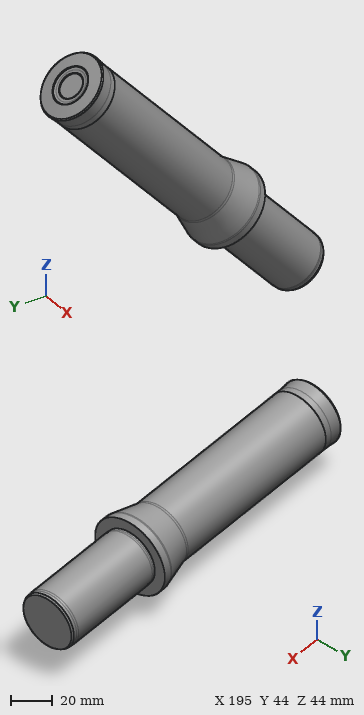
import cadquery as cq

TOTAL_LENGTH = 195.0

HEAD_END_X = 11.7
BODY_RADIUS = 35.5 / 2
LIP_RADIUS = 18.1
LIP_X = 1.4
FACE_RADIUS = 17.5
FACE_EDGE_X = 0.5
BACK_TAPER_END_X = 8.0

DISH_RIM_RADIUS = 10.3
DISH_RIM_INNER_RADIUS = 10.0
DISH_WALL_RADIUS = 8.5
DISH_STEP_RADIUS = 7.0
DISH_FLOOR_RADIUS = 6.6
DISH_RIM_DROP = 0.2
DISH_WALL_DEPTH = 0.4
DISH_STEP_DEPTH = 0.5
DISH_DEPTH = 0.8

COLLAR_RADIUS = 44.0 / 2
FLARE_BLEND_START_X = 112.7
FLARE_START_X = 114.0
FLARE_END_X = 129.5
COLLAR_RIM_X = 130.3
COLLAR_END_X = 134.5
FLARE_START_RADIUS = 18.0
FLARE_END_RADIUS = 21.8

SHANK_RADIUS = 32.0 / 2
RELIEF_RADIUS = 31.5 / 2
NECK_END_X = 135.7
SHANK_START_X = 136.9
SHANK_END_X = 190.9
END_BAND_START_X = 192.0
END_CHAMFER_START_X = 193.8
END_FACE_RADIUS = 15.2


def make_head():
    """Head with a slightly conical face, a shallow dish and a back-tapered rim."""
    profile = (
        cq.Workplane("XY")
        .moveTo(DISH_DEPTH, 0)
        .lineTo(DISH_DEPTH, DISH_FLOOR_RADIUS)
        .lineTo(DISH_STEP_DEPTH, DISH_STEP_RADIUS)
        .lineTo(DISH_WALL_DEPTH, DISH_WALL_RADIUS)
        .lineTo(DISH_RIM_DROP, DISH_RIM_INNER_RADIUS)
        .lineTo(0, DISH_RIM_RADIUS)
        .lineTo(FACE_EDGE_X, FACE_RADIUS)
        .lineTo(LIP_X, LIP_RADIUS)
        .lineTo(BACK_TAPER_END_X, BODY_RADIUS)
        .lineTo(HEAD_END_X, BODY_RADIUS)
        .lineTo(HEAD_END_X, 0)
        .close()
    )
    return profile.revolve(360, (0, 0, 0), (1, 0, 0))


def make_holder():
    """Long cylinder, flared collar and relieved shank, behind the head."""
    profile = (
        cq.Workplane("XY")
        .moveTo(HEAD_END_X, 0)
        .lineTo(HEAD_END_X, BODY_RADIUS)
        .lineTo(FLARE_BLEND_START_X, BODY_RADIUS)
        .lineTo(FLARE_START_X, FLARE_START_RADIUS)
        .lineTo(FLARE_END_X, FLARE_END_RADIUS)
        .lineTo(COLLAR_RIM_X, COLLAR_RADIUS)
        .lineTo(COLLAR_END_X, COLLAR_RADIUS)
        .lineTo(COLLAR_END_X, RELIEF_RADIUS)
        .lineTo(NECK_END_X, RELIEF_RADIUS)
        .lineTo(SHANK_START_X, SHANK_RADIUS)
        .lineTo(SHANK_END_X, SHANK_RADIUS)
        .lineTo(END_BAND_START_X, RELIEF_RADIUS)
        .lineTo(END_CHAMFER_START_X, RELIEF_RADIUS)
        .lineTo(TOTAL_LENGTH, END_FACE_RADIUS)
        .lineTo(TOTAL_LENGTH, 0)
        .close()
    )
    return profile.revolve(360, (0, 0, 0), (1, 0, 0))


head = make_head()
holder = make_holder()

result = cq.Compound.makeCompound([head.val(), holder.val()])